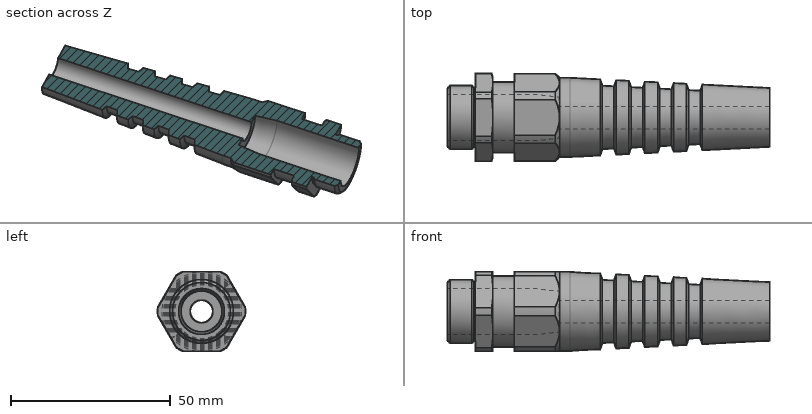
import cadquery as cq
import math


total_length = 101.0
across_flats = 25.0
hexagon_sides = 6

thread_diameter = 20.0
thread_chamfer = 0.95
thread_end_x = 7.7
relief_diameter = 18.8

body_hex_x = 8.8
body_hex_length = 5.5
body_hex_corner_diameter = 27.6
body_hex_chamfer_length = 0.4

neck_diameter = 22.3

nut_hex_x = 21.0
nut_hex_length = 14.2
nut_hex_corner_diameter = 27.4
nut_hex_chamfer_length = 1.4

collar_diameter = 24.9
taper_start_x = 38.3
sleeve_end_diameter = 18.5

groove_count = 4
groove_pitch = 9.0
first_groove_x = 47.9
groove_width = 5.0
groove_wall_length = 0.7
groove_depth = 1.95

entry_bore_diameter = 14.4
entry_bore_depth = 35.0
seat_length = 7.0
seat_end_diameter = 12.8
cable_bore_diameter = 7.0


def revolve_profile(points):
    """Revolve (x, radius) points, closed along the axis, about the X axis."""
    start_x = points[0][0]
    end_x = points[-1][0]
    outline = [(start_x, 0)] + points + [(end_x, 0)]
    return cq.Workplane("XY").polyline(outline).close().revolve(360, (0, 0, 0), (1, 0, 0))


def sleeve_radius(x):
    """Radius of the straight taper from the collar to the free end."""
    start_radius = collar_diameter / 2
    end_radius = sleeve_end_diameter / 2
    fraction = (x - taper_start_x) / (total_length - taper_start_x)
    return start_radius + (end_radius - start_radius) * fraction


def make_thread():
    radius = thread_diameter / 2
    relief_radius = relief_diameter / 2
    relief_x = thread_end_x + radius - relief_radius
    return revolve_profile([
        (0, radius - thread_chamfer),
        (thread_chamfer, radius),
        (thread_end_x, radius),
        (relief_x, relief_radius),
        (body_hex_x, relief_radius),
    ])


def make_hexagon(start_x, length, corner_diameter, chamfer_length, chamfer_end_diameter):
    """Hexagon with flats facing +Z and -Z, rounded corners and a coned +X end."""
    end_x = start_x + length
    corner_to_corner = across_flats / math.cos(math.pi / hexagon_sides)
    prism = (
        cq.Workplane("YZ", origin=(start_x, 0, 0))
        .polygon(hexagon_sides, corner_to_corner)
        .extrude(length)
    )
    envelope = revolve_profile([
        (start_x, corner_diameter / 2),
        (end_x - chamfer_length, corner_diameter / 2),
        (end_x, chamfer_end_diameter / 2),
    ])
    return prism.intersect(envelope)


def make_neck():
    start_x = body_hex_x + body_hex_length
    radius = neck_diameter / 2
    return revolve_profile([(start_x, radius), (nut_hex_x, radius)])


def make_sleeve():
    collar_x = nut_hex_x + nut_hex_length
    return revolve_profile([
        (collar_x, collar_diameter / 2),
        (taper_start_x, collar_diameter / 2),
        (total_length, sleeve_end_diameter / 2),
    ])


def make_groove(start_x):
    """Ring that cuts one groove, with slanted walls and a floor parallel to the taper."""
    end_x = start_x + groove_width
    floor_start_x = start_x + groove_wall_length
    floor_end_x = end_x - groove_wall_length
    outside_radius = collar_diameter
    return (
        cq.Workplane("XY")
        .moveTo(start_x, sleeve_radius(start_x))
        .lineTo(floor_start_x, sleeve_radius(floor_start_x) - groove_depth)
        .lineTo(floor_end_x, sleeve_radius(floor_end_x) - groove_depth)
        .lineTo(end_x, sleeve_radius(end_x))
        .lineTo(end_x, outside_radius)
        .lineTo(start_x, outside_radius)
        .close()
        .revolve(360, (0, 0, 0), (1, 0, 0))
    )


def make_bore():
    cable_radius = cable_bore_diameter / 2
    return revolve_profile([
        (0, entry_bore_diameter / 2),
        (entry_bore_depth - seat_length, entry_bore_diameter / 2),
        (entry_bore_depth, seat_end_diameter / 2),
        (entry_bore_depth, cable_radius),
        (total_length, cable_radius),
    ])


body_hexagon = make_hexagon(
    body_hex_x, body_hex_length, body_hex_corner_diameter, body_hex_chamfer_length, across_flats
)
nut_hexagon = make_hexagon(
    nut_hex_x, nut_hex_length, nut_hex_corner_diameter, nut_hex_chamfer_length, collar_diameter
)

result = make_thread().union(body_hexagon).union(make_neck()).union(nut_hexagon).union(make_sleeve())
for index in range(groove_count):
    result = result.cut(make_groove(first_groove_x + index * groove_pitch))
result = result.cut(make_bore())